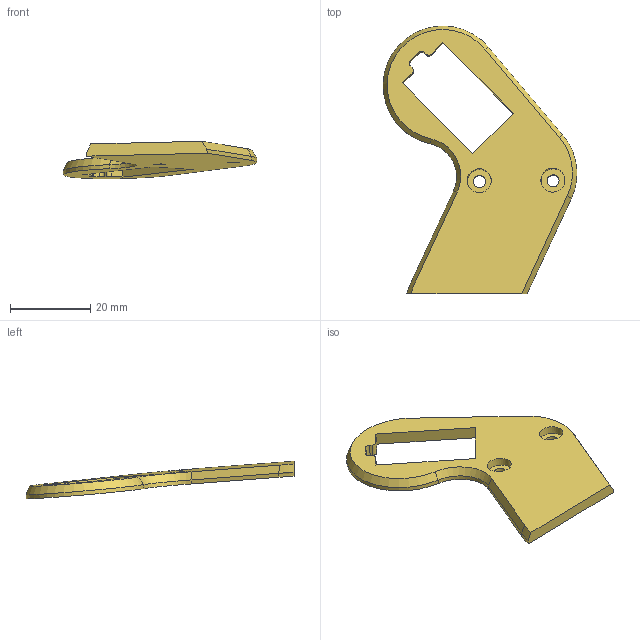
import cadquery as cq
import math

plate_thickness = 3.0
rim_height = 1.0
bevel_inset = 1.05

pitch_about_x = -4.97
roll_about_y = -1.4

head_radius = 14.9
elbow_radius = 14.9
elbow_centre = (18.66, -22.1)
neck_centre = (-5.0, -22.9)
arm_angle = 24.75
outer_edge_length = 31.0
inner_edge_length = 24.2
toe_radius = 34.0
toe_sweep = 12.0
head_to_end = 52.02

window_length = 25.0
window_width = 14.3
window_centre = (3.8, -3.33)
window_angle = -45.0
notch_width = 4.9
notch_depth = 2.5
notch_offset = -0.3
notch_radius = 0.9

screw_places = [(9.22, -24.08), (27.62, -23.93)]
screw_diameter = 3.0
counterbore_diameter = 6.0
counterbore_depth = 2.0


def along(start, angle, distance):
    """Point at a distance from start, in the direction of an angle in degrees."""
    radians = math.radians(angle)
    return (start[0] + distance * math.cos(radians), start[1] + distance * math.sin(radians))


def direction(start, end):
    """Angle in degrees of the line from start to end."""
    return math.degrees(math.atan2(end[1] - start[1], end[0] - start[0]))


def make_outline():
    """Head, elbow and neck joined smoothly, with an arm that curves slightly at its toe."""
    head_centre = (0.0, 0.0)
    neck_radius = math.dist(head_centre, neck_centre) - head_radius
    back_normal = direction(head_centre, elbow_centre) + 90.0
    neck_direction = direction(head_centre, neck_centre)
    arm_normal = -arm_angle
    arm_direction = arm_normal - 90.0
    neck_facing = neck_direction + 180.0

    head_start = along(head_centre, neck_direction, head_radius)
    head_far_side = along(head_centre, 180.0, head_radius)
    head_end = along(head_centre, back_normal, head_radius)
    elbow_start = along(elbow_centre, back_normal, elbow_radius)
    elbow_middle = along(elbow_centre, (back_normal + arm_normal) / 2, elbow_radius)
    elbow_end = along(elbow_centre, arm_normal, elbow_radius)
    neck_start = along(neck_centre, arm_normal, neck_radius)
    neck_middle = along(neck_centre, (arm_normal + neck_facing) / 2, neck_radius)
    toe_start = along(neck_start, arm_direction, inner_edge_length)
    toe_centre = along(toe_start, arm_normal, toe_radius)
    toe_facing = arm_normal + 180.0
    toe_middle = along(toe_centre, toe_facing + toe_sweep / 2, toe_radius)
    toe_end = along(toe_centre, toe_facing + toe_sweep, toe_radius)

    return (
        cq.Workplane("XY")
        .moveTo(*head_start)
        .threePointArc(head_far_side, head_end)
        .lineTo(*elbow_start)
        .threePointArc(elbow_middle, elbow_end)
        .lineTo(*along(elbow_end, arm_direction, outer_edge_length))
        .lineTo(*toe_end)
        .threePointArc(toe_middle, toe_start)
        .lineTo(*neck_start)
        .threePointArc(neck_middle, head_start)
        .close()
    )


def make_plate():
    """Plate with an upright rim and a bevel leaning in above it."""
    bevel_height = plate_thickness - rim_height
    bevel_angle = math.degrees(math.atan2(bevel_inset, bevel_height))
    rim = make_outline().extrude(rim_height)
    bevel = make_outline().extrude(bevel_height, taper=bevel_angle)
    return rim.union(bevel.translate((0, 0, rim_height)))


def make_window():
    """Cutter for the window and its rounded notch, through the plate."""
    opening = cq.Workplane("XY").rect(window_length, window_width).extrude(plate_thickness)
    notch = (
        cq.Workplane("XY")
        .center(-window_length / 2, notch_offset)
        .rect(2 * notch_depth, notch_width)
        .extrude(plate_thickness)
        .edges("|Z")
        .edges("<X")
        .fillet(notch_radius)
    )
    mouth_corners = cq.selectors.BoxSelector(
        (-window_length / 2 - notch_radius, notch_offset - notch_width, 0),
        (-window_length / 2 + notch_radius, notch_offset + notch_width, plate_thickness),
    )
    cutter = opening.union(notch).edges("|Z").edges(mouth_corners).fillet(notch_radius)
    cutter = cutter.rotate((0, 0, 0), (0, 0, 1), window_angle)
    return cutter.translate((*window_centre, 0))


def drill_screw_holes(plate):
    """Counterbored holes entered from the top face."""
    return (
        plate.faces(">Z")
        .workplane(origin=(0, 0, plate_thickness))
        .pushPoints(screw_places)
        .cboreHole(screw_diameter, counterbore_diameter, counterbore_depth)
    )


def tilt(plate):
    """Lean the flat plate into its final attitude."""
    pitched = plate.rotate((0, 0, 0), (1, 0, 0), pitch_about_x)
    return pitched.rotate((0, 0, 0), (0, 1, 0), roll_about_y)


def trim_end(plate):
    """Cut the arm off square to Y, with an upright end face."""
    block_size = 4 * head_to_end
    block = cq.Workplane("XY").box(block_size, block_size, block_size)
    return plate.cut(block.translate((0, -head_to_end - block_size / 2, 0)))


flat_plate = drill_screw_holes(make_plate().cut(make_window()))
result = trim_end(tilt(flat_plate))